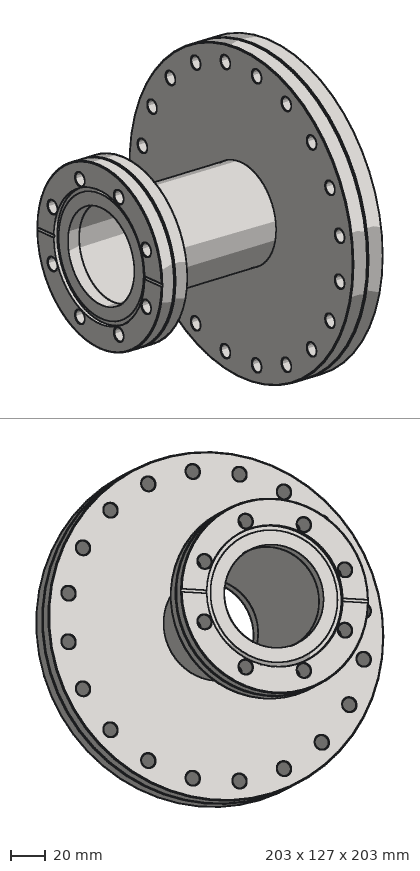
import cadquery as cq
import math

overall_length = 127.0

edge_chamfer = 0.5
hole_diameter = 8.3
hole_chamfer = 0.3
rim_groove_depth = 0.2
rim_groove_width = 1.2

large_diameter = 203.0
large_thickness = 22.1
large_bolt_circle = 180.9
large_hole_count = 20

ring_diameter = 113.5
ring_thickness = 19.3
ring_bolt_circle = 92.0
ring_hole_count = 8
ring_recess_diameter = 82.5
neck_diameter = 70.5
shoulder_depth = 8.3
leak_groove_width = 1.8
leak_groove_depth = 0.6

hub_head_diameter = 82.2
knife_edge_diameter = 77.0
knife_edge_depth = 1.5
gasket_floor_depth = 2.5

tube_outer_diameter = 63.5
tube_inner_diameter = 60.3
socket_diameter = 63.7
bore_diameter = 60.0
bore_length = 8.3

large_inner_y = -large_thickness
ring_face_y = -overall_length
ring_back_y = ring_face_y + ring_thickness
shoulder_y = ring_face_y + shoulder_depth
knife_edge_y = ring_face_y + knife_edge_depth
gasket_floor_y = ring_face_y + gasket_floor_depth
tube_start_y = knife_edge_y + bore_length
tube_end_y = -bore_length


def cylinder(diameter, y_start, y_end):
    """Solid cylinder around the Y axis."""
    return (
        cq.Workplane("XZ", origin=(0, y_start, 0))
        .circle(diameter / 2)
        .extrude(y_start - y_end)
    )


def tube_between(outer_diameter, inner_diameter, y_start, y_end):
    """Hollow cylinder around the Y axis."""
    return cylinder(outer_diameter, y_start, y_end).cut(cylinder(inner_diameter, y_start, y_end))


def bolt_holes(circle_diameter, count, y_start, y_end):
    """Evenly spaced hole cutters that straddle the X and Z axes, each chamfered at y_start."""
    mouth_radius = hole_diameter / 2 + hole_chamfer
    hole_profile = [
        (0, y_start),
        (mouth_radius, y_start),
        (hole_diameter / 2, y_start + hole_chamfer),
        (hole_diameter / 2, y_end),
        (0, y_end),
    ]
    hole = cq.Workplane("XY").polyline(hole_profile).close().revolve(360, (0, 0, 0), (0, 1, 0))
    holes = cq.Workplane("XY")
    for i in range(count):
        angle = (2 * i + 1) * math.pi / count
        centre_x = circle_diameter / 2 * math.cos(angle)
        centre_z = circle_diameter / 2 * math.sin(angle)
        holes.add(hole.translate((centre_x, 0, centre_z)))
    return cq.Workplane(cq.Compound.makeCompound(holes.vals()))


def rim_groove(diameter, y_centre):
    """Ring-shaped cutter for a shallow groove around a flange rim."""
    floor_diameter = diameter - 2 * rim_groove_depth
    half_width = rim_groove_width / 2
    return tube_between(diameter, floor_diameter, y_centre - half_width, y_centre + half_width)


def make_large_flange():
    flange = cylinder(large_diameter, large_inner_y, 0).faces("<Y").edges().chamfer(edge_chamfer)
    flange = flange.cut(cylinder(bore_diameter, large_inner_y, 0))
    flange = flange.cut(cylinder(socket_diameter, large_inner_y, tube_end_y))
    flange = flange.cut(bolt_holes(large_bolt_circle, large_hole_count, large_inner_y, 0))
    return flange.cut(rim_groove(large_diameter, large_inner_y / 2))


def make_tube():
    return tube_between(tube_outer_diameter, tube_inner_diameter, tube_start_y, tube_end_y)


def make_hub():
    """Stepped sleeve whose conical front flank ends in the knife edge."""
    profile = [
        (bore_diameter / 2, knife_edge_y),
        (knife_edge_diameter / 2, knife_edge_y),
        (hub_head_diameter / 2, gasket_floor_y),
        (hub_head_diameter / 2, shoulder_y),
        (neck_diameter / 2, shoulder_y),
        (neck_diameter / 2, ring_back_y),
        (socket_diameter / 2, ring_back_y),
        (socket_diameter / 2, tube_start_y),
        (bore_diameter / 2, tube_start_y),
    ]
    return cq.Workplane("XY").polyline(profile).close().revolve(360, (0, 0, 0), (0, 1, 0))


def leak_groove():
    """Round-bottomed cutter across the ring face, leaving a leak-check channel on either side."""
    radius = (leak_groove_width**2 / 4 + leak_groove_depth**2) / (2 * leak_groove_depth)
    axis_y = ring_face_y + leak_groove_depth - radius
    return (
        cq.Workplane("YZ", origin=(-ring_diameter / 2, axis_y, 0))
        .circle(radius)
        .extrude(ring_diameter)
    )


def make_bolt_ring():
    ring = cylinder(ring_diameter, ring_face_y, ring_back_y)
    ring = ring.faces("<Y or >Y").edges().chamfer(edge_chamfer)
    ring = ring.cut(cylinder(neck_diameter, ring_face_y, ring_back_y))
    ring = ring.cut(cylinder(ring_recess_diameter, ring_face_y, shoulder_y))
    ring = ring.cut(bolt_holes(ring_bolt_circle, ring_hole_count, ring_face_y, ring_back_y))
    ring_middle_y = (ring_face_y + ring_back_y) / 2
    ring = ring.cut(rim_groove(ring_diameter, ring_middle_y))
    return ring.cut(leak_groove())


large_flange = make_large_flange()
tube = make_tube()
hub = make_hub()
bolt_ring = make_bolt_ring()

result = cq.Compound.makeCompound([large_flange.val(), tube.val(), hub.val(), bolt_ring.val()])